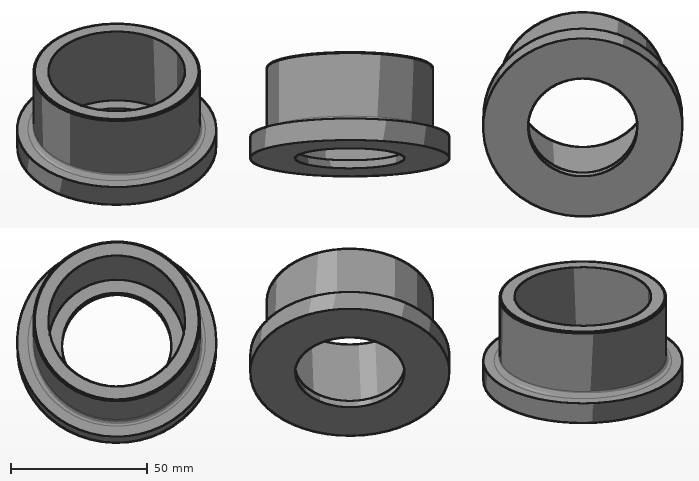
import cadquery as cq

flange_diameter = 73.0
flange_thickness = 8.0
barrel_diameter = 61.0
total_height = 34.0
bore_diameter = 50.0
opening_diameter = 40.0
floor_thickness = 3.0
root_fillet = 2.0
rim_chamfer = 0.5

flange_radius = flange_diameter / 2
barrel_radius = barrel_diameter / 2

body = (
    cq.Workplane("XZ")
    .lineTo(flange_radius, 0)
    .lineTo(flange_radius, flange_thickness)
    .lineTo(barrel_radius + root_fillet, flange_thickness)
    .radiusArc((barrel_radius, flange_thickness + root_fillet), root_fillet)
    .lineTo(barrel_radius, total_height - rim_chamfer)
    .lineTo(barrel_radius - rim_chamfer, total_height)
    .lineTo(0, total_height)
    .close()
    .revolve(360, (0, 0), (0, 1))
)

bore = (
    cq.Workplane("XY")
    .workplane(offset=floor_thickness)
    .circle(bore_diameter / 2)
    .extrude(total_height - floor_thickness)
)

opening = cq.Workplane("XY").circle(opening_diameter / 2).extrude(floor_thickness)

result = body.cut(bore).cut(opening)